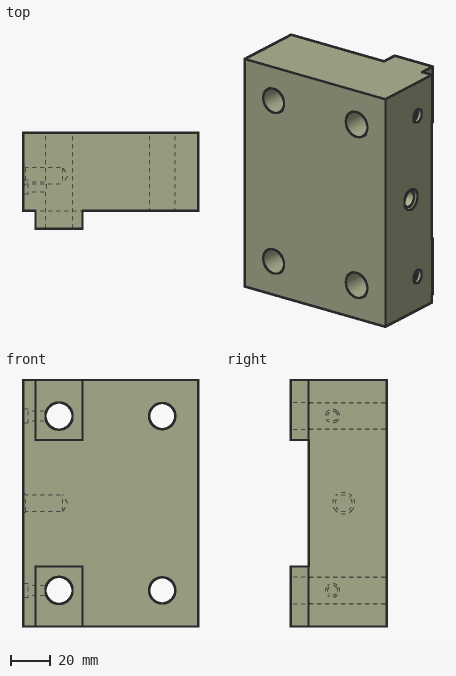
import cadquery as cq

LENGTH_X = 88.2
HEIGHT_Z = 124.4
TOTAL_DEPTH = 48.5
PAD_THICKNESS = 9.1
BLOCK_DEPTH = TOTAL_DEPTH - PAD_THICKNESS

PAD_START_X = 6.1
PAD_WIDTH = 23.9
PAD_HEIGHT = 30.4

BOLT_Z = 43.9
PAD_BOLT_X = PAD_START_X + PAD_WIDTH / 2
PLAIN_BOLT_X = 70.0
PAD_BOLT_DIAMETER = 13.5
PLAIN_BOLT_DIAMETER = 13.0

CROSS_HOLE_Y = -27.4
CROSS_HOLE_DIAMETER = 5.0
CROSS_BORE_DIAMETER = 7.0
CROSS_BORE_DEPTH = 2.5

DRILL_Y = -21.8
DRILL_DIAMETER = 8.5
DRILL_DEPTH = 19.9
DRILL_TIP_LENGTH = 2.5
MOUTH_DIAMETER = 11.0
MOUTH_DEPTH = (MOUTH_DIAMETER - DRILL_DIAMETER) / 2


def make_body():
    body = cq.Workplane("XY").box(LENGTH_X, BLOCK_DEPTH, HEIGHT_Z, centered=False)
    body = body.translate((0, -BLOCK_DEPTH, -HEIGHT_Z / 2))
    pad = cq.Workplane("XY").box(PAD_WIDTH, TOTAL_DEPTH, PAD_HEIGHT, centered=False)
    for bottom_z in (-HEIGHT_Z / 2, HEIGHT_Z / 2 - PAD_HEIGHT):
        body = body.union(pad.translate((PAD_START_X, -TOTAL_DEPTH, bottom_z)))
    return body


def bolt_hole(x, z, diameter):
    hole = cq.Workplane("XZ").circle(diameter / 2).extrude(TOTAL_DEPTH)
    return hole.translate((x, 0, z))


def cross_hole(z):
    hole = cq.Workplane("YZ").circle(CROSS_HOLE_DIAMETER / 2).extrude(PAD_BOLT_X)
    bore = cq.Workplane("YZ").circle(CROSS_BORE_DIAMETER / 2).extrude(CROSS_BORE_DEPTH)
    return hole.union(bore).translate((0, CROSS_HOLE_Y, z))


def drilled_hole():
    profile = (
        cq.Workplane("XY")
        .lineTo(0, MOUTH_DIAMETER / 2)
        .lineTo(MOUTH_DEPTH, DRILL_DIAMETER / 2)
        .lineTo(DRILL_DEPTH, DRILL_DIAMETER / 2)
        .lineTo(DRILL_DEPTH + DRILL_TIP_LENGTH, 0)
        .close()
    )
    return profile.revolve(360, (0, 0, 0), (1, 0, 0)).translate((0, DRILL_Y, 0))


result = make_body()
for level_z in (-BOLT_Z, BOLT_Z):
    result = result.cut(bolt_hole(PAD_BOLT_X, level_z, PAD_BOLT_DIAMETER))
    result = result.cut(bolt_hole(PLAIN_BOLT_X, level_z, PLAIN_BOLT_DIAMETER))
    result = result.cut(cross_hole(level_z))
result = result.cut(drilled_hole())